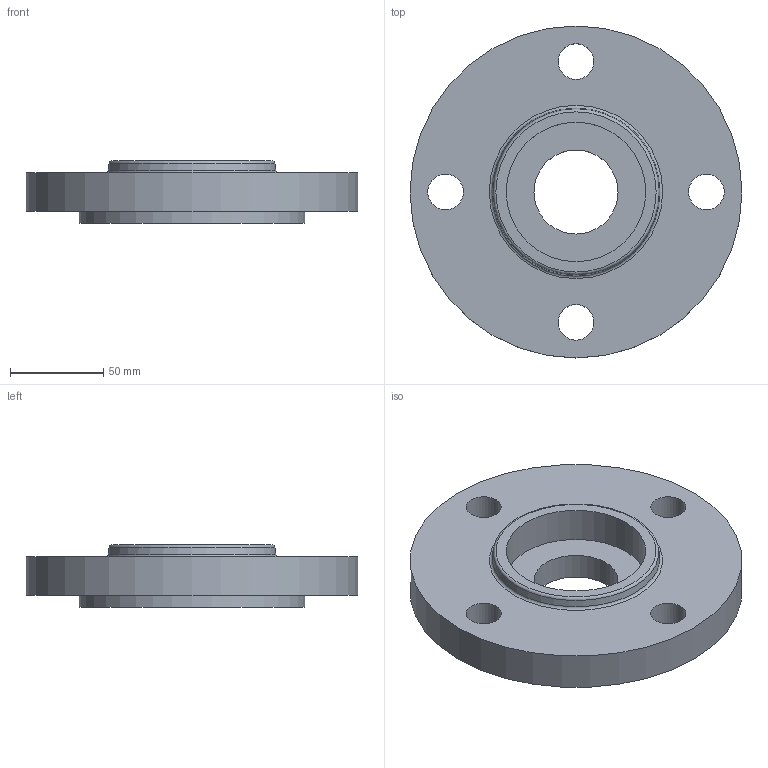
import cadquery as cq

FLANGE_DIAMETER = 177.8
FLANGE_THICKNESS = 20.57
RAISED_FACE_DIAMETER = 120.65
RAISED_FACE_HEIGHT = 6.35

HUB_HEIGHT = 6.35
HUB_ROOT_DIAMETER = 90.2
HUB_TAPER_ANGLE = 8.0
HUB_BLEND_RADIUS = 1.5

BORE_DIAMETER = 45.0
SOCKET_DIAMETER = 74.7
SOCKET_DEPTH = 19.05

BOLT_COUNT = 4
BOLT_CIRCLE_DIAMETER = 139.7
BOLT_HOLE_DIAMETER = 19.05

FLANGE_TOP = RAISED_FACE_HEIGHT + FLANGE_THICKNESS
OVERALL_HEIGHT = FLANGE_TOP + HUB_HEIGHT


def make_disc(diameter, bottom, height):
    """Solid cylinder about the Z axis."""
    return cq.Workplane("XY").workplane(offset=bottom).circle(diameter / 2).extrude(height)


def make_hub():
    """Hub narrowing upward at the taper angle."""
    hub_base = cq.Workplane("XY").workplane(offset=FLANGE_TOP).circle(HUB_ROOT_DIAMETER / 2)
    return hub_base.extrude(HUB_HEIGHT, taper=HUB_TAPER_ANGLE)


def blend_hub(body):
    """Round the outer top edge of the still solid hub and blend its root into the flange."""
    body = body.faces(">Z").edges().fillet(HUB_BLEND_RADIUS)
    second_highest = cq.selectors.CenterNthSelector(cq.Vector(0, 0, 1), -2)
    smallest_circle = cq.selectors.RadiusNthSelector(0)
    flange_top = body.faces("|Z").faces(second_highest)
    return flange_top.edges(smallest_circle).fillet(HUB_BLEND_RADIUS)


def make_bolt_holes():
    """Cutters for the bolt holes, the first one on the +X axis."""
    pattern = cq.Workplane("XY").polarArray(BOLT_CIRCLE_DIAMETER / 2, 0, 360, BOLT_COUNT)
    return pattern.circle(BOLT_HOLE_DIAMETER / 2).extrude(OVERALL_HEIGHT)


body = make_disc(FLANGE_DIAMETER, RAISED_FACE_HEIGHT, FLANGE_THICKNESS)
body = body.union(make_disc(RAISED_FACE_DIAMETER, 0, RAISED_FACE_HEIGHT))
body = body.union(make_hub())

body = blend_hub(body)
body = body.cut(make_disc(BORE_DIAMETER, 0, OVERALL_HEIGHT))
body = body.cut(make_disc(SOCKET_DIAMETER, OVERALL_HEIGHT - SOCKET_DEPTH, SOCKET_DEPTH))
result = body.cut(make_bolt_holes())